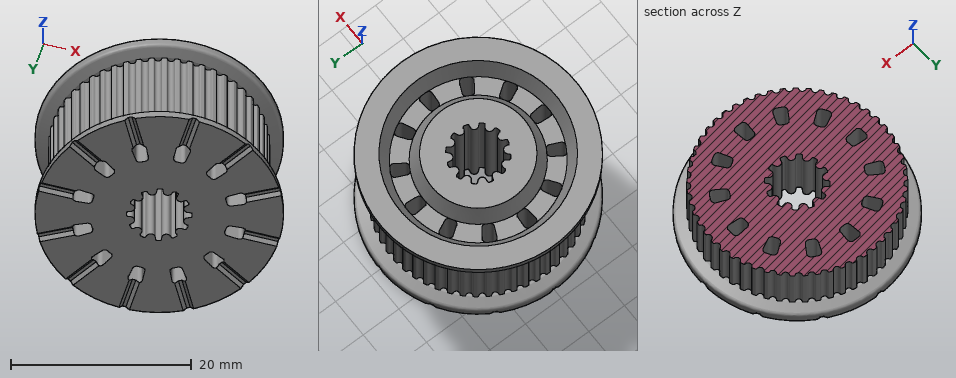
import cadquery as cq
import math

height = 14.0
flange_radius = 27.55 / 2

flange_thickness = 1.5
flange_slope = 15.0
shoulder_radius = 0.4

outer_tooth_count = 53
drum_radius = 12.265
groove_depth = 0.43
groove_radius = 0.41
tooth_tip_radius = 0.15

recess_depth = 2.0
recess_wall_angle = 30.0
recess_outer_radius = 11.0
hub_top_radius = 6.5
recess_wall_run = recess_depth * math.tan(math.radians(recess_wall_angle))
floor_outer_radius = recess_outer_radius - recess_wall_run
floor_inner_radius = hub_top_radius + recess_wall_run

window_count = 12
window_angle = 10.0
window_fillet = 0.45
notch_depth = 0.4
notch_top_width = 0.4
notch_bottom_width = 1.2

bore_tooth_count = 12
bore_radius = 3.62
bore_tooth_tip_radius = 0.5
bore_tooth_inner_radius = 2.84
bore_tooth_flank_angle = 20.0
bore_corner_fillet = 0.17

cut_margin = 1.0


def polar(radius, angle):
    """Point at a radius and an angle in degrees."""
    return (radius * math.cos(math.radians(angle)), radius * math.sin(math.radians(angle)))


def make_blank():
    """Drum with a flange at each end, revolved about Z."""
    cone_drop = (flange_radius - drum_radius) * math.tan(math.radians(flange_slope))
    rim_height = flange_thickness - cone_drop
    profile = (
        cq.Workplane("XZ")
        .moveTo(0, 0)
        .lineTo(flange_radius, 0)
        .lineTo(flange_radius, rim_height)
        .lineTo(drum_radius, flange_thickness)
        .lineTo(drum_radius, height - flange_thickness)
        .lineTo(flange_radius, height - rim_height)
        .lineTo(flange_radius, height)
        .lineTo(0, height)
        .close()
    )
    blank = profile.revolve(360, (0, 0, 0), (0, 1, 0))
    shoulders = []
    for edge in blank.edges("%CIRCLE").vals():
        at_end_face = min(edge.Center().z, height - edge.Center().z) < rim_height / 2
        if edge.radius() > drum_radius + cone_drop and not at_end_face:
            shoulders.append(edge)
    return blank.newObject(shoulders).fillet(shoulder_radius)


def make_belt_grooves():
    """Round-bottomed grooves between the outer teeth, blended into rounded tooth tips."""
    bottom = drum_radius - groove_depth
    centre = bottom + groove_radius

    tip_distance = drum_radius - tooth_tip_radius
    centre_distance = groove_radius + tooth_tip_radius
    cos_tip_angle = (centre**2 + tip_distance**2 - centre_distance**2) / (2 * centre * tip_distance)
    tip_angle = math.degrees(math.acos(cos_tip_angle))
    tip_x, tip_y = polar(tip_distance, tip_angle)
    land_x, land_y = polar(drum_radius, tip_angle)
    blend_share = groove_radius / centre_distance
    blend_x = centre + (tip_x - centre) * blend_share
    blend_y = tip_y * blend_share
    blend_direction = math.degrees(math.atan2(blend_y - tip_y, blend_x - tip_x))
    mid_x, mid_y = polar(tooth_tip_radius, (blend_direction + tip_angle) / 2)
    arc_x = tip_x + mid_x
    arc_y = tip_y + mid_y

    outside = drum_radius + cut_margin
    groove = (
        cq.Workplane("XY", origin=(0, 0, flange_thickness))
        .moveTo(outside, land_y)
        .lineTo(land_x, land_y)
        .threePointArc((arc_x, arc_y), (blend_x, blend_y))
        .threePointArc((bottom, 0), (blend_x, -blend_y))
        .threePointArc((arc_x, -arc_y), (land_x, -land_y))
        .lineTo(outside, -land_y)
        .close()
        .extrude(height - 2 * flange_thickness)
    )
    pitch_angle = 360 / outer_tooth_count
    first_angle = -90 + pitch_angle / 2
    solid = groove.val()
    cutters = []
    for index in range(outer_tooth_count):
        cutters.append(solid.rotate((0, 0, 0), (0, 0, 1), first_angle + index * pitch_angle))
    return cq.Workplane(cq.Compound.makeCompound(cutters))


def make_recess():
    """Ring between the tapered hub and the sloping outer wall."""
    floor = height - recess_depth
    return (
        cq.Workplane("XZ")
        .moveTo(hub_top_radius, height)
        .lineTo(floor_inner_radius, floor)
        .lineTo(floor_outer_radius, floor)
        .lineTo(recess_outer_radius, height)
        .close()
        .revolve(360, (0, 0, 0), (0, 1, 0))
    )


def make_window():
    """Sector-shaped opening with radial sides and rounded corners, along +X."""
    half_angle = window_angle / 2
    return (
        cq.Workplane("XY")
        .moveTo(*polar(floor_inner_radius, -half_angle))
        .lineTo(*polar(floor_outer_radius, -half_angle))
        .threePointArc((floor_outer_radius, 0), polar(floor_outer_radius, half_angle))
        .lineTo(*polar(floor_inner_radius, half_angle))
        .threePointArc((floor_inner_radius, 0), polar(floor_inner_radius, -half_angle))
        .close()
        .extrude(height - recess_depth)
        .edges("|Z")
        .fillet(window_fillet)
    )


def make_notch():
    """Trapezoid channel in the bottom face from a window out through the rim, along +X."""
    start = (floor_inner_radius + floor_outer_radius) / 2
    return (
        cq.Workplane("YZ", origin=(start, 0, 0))
        .moveTo(-notch_bottom_width / 2, 0)
        .lineTo(notch_bottom_width / 2, 0)
        .lineTo(notch_top_width / 2, notch_depth)
        .lineTo(-notch_top_width / 2, notch_depth)
        .close()
        .extrude(flange_radius + cut_margin - start)
    )


def make_bore():
    """Through hole with round-tipped teeth pointing inwards."""
    flank = math.radians(bore_tooth_flank_angle)
    tip_centre = bore_tooth_inner_radius + bore_tooth_tip_radius
    tangent_x = tip_centre - bore_tooth_tip_radius * math.sin(flank)
    tangent_y = bore_tooth_tip_radius * math.cos(flank)
    root_x = bore_radius + cut_margin
    root_y = tangent_y + (root_x - tangent_x) * math.tan(flank)
    tooth = (
        cq.Workplane("XY")
        .moveTo(root_x, root_y)
        .lineTo(tangent_x, tangent_y)
        .threePointArc((bore_tooth_inner_radius, 0), (tangent_x, -tangent_y))
        .lineTo(root_x, -root_y)
        .close()
        .extrude(height)
    )
    bore = cq.Workplane("XY").circle(bore_radius).extrude(height)
    for index in range(bore_tooth_count):
        bore = bore.cut(tooth.rotate((0, 0, 0), (0, 0, 1), index * 360 / bore_tooth_count))
    root_corners = []
    for edge in bore.edges("|Z").vals():
        if math.hypot(edge.Center().x, edge.Center().y) > tip_centre:
            root_corners.append(edge)
    return bore.newObject(root_corners).fillet(bore_corner_fillet)


part = make_blank().cut(make_belt_grooves()).cut(make_recess())
for index in range(window_count):
    angle = index * 360 / window_count
    part = part.cut(make_window().rotate((0, 0, 0), (0, 0, 1), angle))
    part = part.cut(make_notch().rotate((0, 0, 0), (0, 0, 1), angle))
result = part.cut(make_bore())